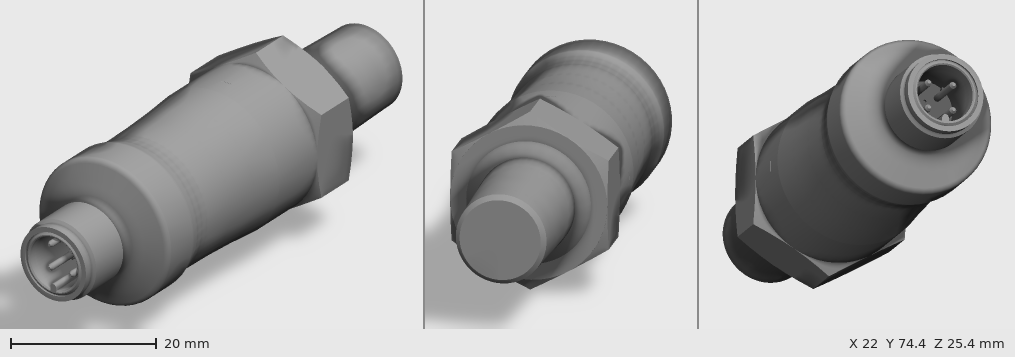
import cadquery as cq
import math

length = 74.4
plug_face_y = -length / 2

plug_dia = 12.0
plug_nose_dia = 11.0
plug_neck_dia = 10.9
plug_nose_end = 1.35
plug_chamfer_end = 1.8
plug_end = 8.1
plug_relief_end = 8.8

body_dia = 22.0
waist_dia = 20.5
shoulder_angle = math.radians(70)
shoulder_fillet = 1.0
shoulder_root_start = 9.15
collar_end = 17.55
flare_start_dia = 21.9
flare_start = 18.0
waist = 22.0
body_start = 38.0

hex_flats = body_dia
hex_start = 46.95
hex_end = 55.5
hex_chamfer_dia = 21.8
hex_chamfer_angle = math.radians(30)

base_cone_dia = 17.5
base_cone_end = 57.0
thread_dia = 13.7
thread_taper_start = 58.4
thread_tip_dia = 12.7
thread_chamfer = 0.7

socket_dia = 8.0
socket_depth = 8.55
rim_inner_dia = 8.4
rim_outer_dia = 8.7
rim_groove_inner_dia = 9.4
rim_groove_outer_dia = 9.5

pin_dia = 1.0
pin_tip_dia = 0.45
pin_tip_length = 0.45
pin_recess = 1.55
pin_offset = 1.8
key_width = 1.0
key_reach = 3.05
rib_dia = 0.9
rib_x = 2.7
rib_z = 3.0
rib_height = 0.75
dimple_dia = 0.45
dimple_z = 1.2
dimple_depth = 0.4

notch_width = 1.8
notch_length = 0.2
notch_start = 40.85


def along(station):
    """Y coordinate of a distance from the plug face."""
    return plug_face_y + station


def at(diameter, station):
    """Profile point (X, Y) for a revolved diameter."""
    return (diameter / 2, along(station))


def frustum(start_dia, end_dia, start, end):
    profile = (
        cq.Workplane("XY")
        .moveTo(*at(0, start))
        .lineTo(*at(start_dia, start))
        .lineTo(*at(end_dia, end))
        .lineTo(*at(0, end))
        .close()
    )
    return profile.revolve(360, (0, 0, 0), (0, 1, 0))


def make_turned_body():
    tangent = shoulder_fillet * math.tan(shoulder_angle / 2)
    tangent_rise = tangent * math.sin(shoulder_angle)
    tangent_run = tangent * math.cos(shoulder_angle)
    sagitta_rise = shoulder_fillet * (1 - math.cos(shoulder_angle / 2))
    sagitta_run = shoulder_fillet * math.sin(shoulder_angle / 2)
    root = shoulder_root_start + tangent
    shoulder_height = (body_dia - plug_neck_dia) / 2
    crest = root + shoulder_height / math.tan(shoulder_angle)
    crest_end = crest + tangent

    profile = (
        cq.Workplane("XY")
        .moveTo(*at(0, 0))
        .lineTo(*at(plug_nose_dia, 0))
        .lineTo(*at(plug_nose_dia, plug_nose_end))
        .lineTo(*at(plug_dia, plug_chamfer_end))
        .lineTo(*at(plug_dia, plug_end))
        .lineTo(*at(plug_neck_dia, plug_relief_end))
        .lineTo(*at(plug_neck_dia, shoulder_root_start))
        .threePointArc(
            at(plug_neck_dia + 2 * sagitta_rise, shoulder_root_start + sagitta_run),
            at(plug_neck_dia + 2 * tangent_rise, root + tangent_run),
        )
        .lineTo(*at(body_dia - 2 * tangent_rise, crest - tangent_run))
        .threePointArc(
            at(body_dia - 2 * sagitta_rise, crest_end - sagitta_run),
            at(body_dia, crest_end),
        )
        .lineTo(*at(body_dia, collar_end))
        .tangentArcPoint(at(flare_start_dia, flare_start), relative=False)
        .tangentArcPoint(at(waist_dia, waist), relative=False)
        .tangentArcPoint(at(body_dia, body_start), relative=False)
        .lineTo(*at(body_dia, hex_end))
        .lineTo(*at(base_cone_dia, hex_end))
        .lineTo(*at(thread_dia, base_cone_end))
        .lineTo(*at(thread_dia, thread_taper_start))
        .lineTo(*at(thread_tip_dia, length - thread_chamfer))
        .lineTo(*at(thread_tip_dia - 2 * thread_chamfer, length))
        .lineTo(*at(0, length))
        .close()
    )
    return profile.revolve(360, (0, 0, 0), (0, 1, 0))


def make_hexagon():
    corner_dia = hex_flats / math.cos(math.radians(30))
    chamfer_length = (corner_dia - hex_chamfer_dia) / 2 * math.tan(hex_chamfer_angle)
    prism = (
        cq.Workplane("XZ", origin=(0, along(hex_start), 0))
        .transformed(rotate=(0, 0, 90))
        .polygon(6, corner_dia)
        .extrude(-(hex_end - hex_start))
    )
    chamfer_start = hex_start + chamfer_length
    chamfer_end = hex_end - chamfer_length
    envelope = (
        frustum(hex_chamfer_dia, corner_dia, hex_start, chamfer_start)
        .union(frustum(corner_dia, corner_dia, chamfer_start, chamfer_end))
        .union(frustum(corner_dia, hex_chamfer_dia, chamfer_end, hex_end))
    )
    return prism.intersect(envelope)


def make_socket():
    chamfer = (rim_inner_dia - socket_dia) / 2
    bore = frustum(socket_dia, socket_dia, 0, socket_depth)
    return bore.union(frustum(rim_inner_dia, socket_dia, 0, chamfer))


def make_rim_groove():
    depth = (rim_groove_inner_dia - rim_outer_dia) / 2
    profile = (
        cq.Workplane("XY")
        .moveTo(*at(rim_outer_dia, 0))
        .lineTo(*at(rim_groove_inner_dia, depth))
        .lineTo(*at(rim_groove_outer_dia, depth))
        .lineTo(*at(rim_groove_outer_dia, 0))
        .close()
    )
    return profile.revolve(360, (0, 0, 0), (0, 1, 0))


def make_pin(x, z):
    shank = frustum(pin_dia, pin_dia, pin_recess + pin_tip_length, socket_depth)
    tip = frustum(pin_tip_dia, pin_dia, pin_recess, pin_recess + pin_tip_length)
    return shank.union(tip).translate((x, 0, z))


def make_key():
    crown_z = -key_reach - key_width / 2
    wall_z = -rim_inner_dia / 2
    half = key_width / 2
    outline = (
        cq.Workplane("XZ", origin=(0, along(0), 0))
        .moveTo(-half, wall_z)
        .lineTo(-half, crown_z)
        .threePointArc((0, -key_reach), (half, crown_z))
        .lineTo(half, wall_z)
        .close()
    )
    return outline.extrude(-socket_depth)


def make_rib(x, z):
    return frustum(rib_dia, rib_dia, socket_depth - rib_height, socket_depth).translate((x, 0, z))


def make_dimple():
    dimple = frustum(dimple_dia, dimple_dia, socket_depth, socket_depth + dimple_depth)
    return dimple.translate((0, 0, dimple_z))


def make_notch(angle):
    """Flat-bottomed notch at +Z, turned about the Y axis by an angle in degrees."""
    half_width = notch_width / 2
    floor_z = math.sqrt((body_dia / 2) ** 2 - half_width**2)
    cutter = cq.Workplane("XY").box(
        notch_width, notch_length, notch_width, centered=(True, False, False)
    )
    placed = cutter.translate((0, along(notch_start), floor_z))
    return placed.rotate((0, 0, 0), (0, 1, 0), angle)


result = make_turned_body().union(make_hexagon()).cut(make_rim_groove()).cut(make_socket())
for side_x in (-1, 1):
    for side_z in (-1, 1):
        result = result.union(make_pin(side_x * pin_offset, side_z * pin_offset))
        result = result.union(make_rib(side_x * rib_x, side_z * rib_z))
result = result.union(make_key()).cut(make_dimple())
for angle in (0, -90):
    result = result.cut(make_notch(angle))